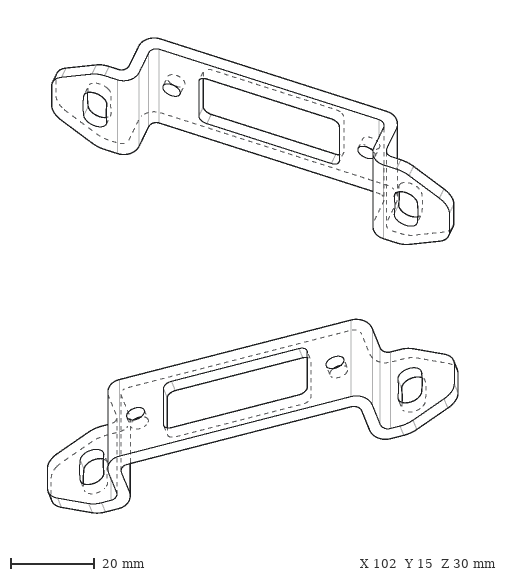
import cadquery as cq
import math

length = 102.0
depth = 15.0
height = 30.0

sheet = 3.0
raised_width = 66.1
outer_bend_radius = 4.0
inner_bend_radius = 1.9
edge_tolerance = 0.1

taper_length = 11.8
tip_height = 14.1
end_radius = 5.8

slot_path_radius = 40.0
slot_width = 5.9
slot_height = 13.3

window_width = 36.0
window_height = 18.1
window_corner_radius = 2.0
hole_diameter = 4.5
hole_spacing = 50.0


def full_height_block(width, bottom, top):
    """Full-height rectangular block centred in X, between two Y levels."""
    return (
        cq.Workplane("XY")
        .box(width, top - bottom, height)
        .translate((0, (top + bottom) / 2, 0))
    )


def bent_sheet():
    """Hat-shaped sheet with rounded bends, extruded along Z."""
    front = -depth / 2
    back = depth / 2
    foot_back = front + sheet
    panel_front = back - sheet
    wall_outer = raised_width / 2
    wall_inner = wall_outer - sheet

    feet = full_height_block(length, front, foot_back)
    raised = full_height_block(raised_width, front, back)
    channel = full_height_block(2 * wall_inner, front, panel_front)
    sheet_body = feet.union(raised).cut(channel)

    def bend_edges(x, y):
        tol = edge_tolerance
        left, right = [
            cq.selectors.BoxSelector(
                (bend_x - tol, y - tol, -height), (bend_x + tol, y + tol, height)
            )
            for bend_x in (-x, x)
        ]
        return sheet_body.edges("|Z").edges(left + right)

    for x, y, radius in (
        (wall_outer, back, outer_bend_radius),
        (wall_inner, front, outer_bend_radius),
        (wall_outer, foot_back, inner_bend_radius),
        (wall_inner, panel_front, inner_bend_radius),
    ):
        sheet_body = bend_edges(x, y).fillet(radius)
    return sheet_body


def through_y(sketch):
    """Extrude an XZ sketch through the whole depth."""
    return sketch.extrude(depth, both=True)


def outline():
    """Elongated octagon with all its corners rounded."""
    tip_x = length / 2
    shoulder_x = tip_x - taper_length
    corners = [
        (-tip_x, -tip_height / 2),
        (-shoulder_x, -height / 2),
        (shoulder_x, -height / 2),
        (tip_x, -tip_height / 2),
        (tip_x, tip_height / 2),
        (shoulder_x, height / 2),
        (-shoulder_x, height / 2),
        (-tip_x, tip_height / 2),
    ]
    sketch = cq.Workplane("XZ").polyline(corners).close()
    return through_y(sketch).edges("|Y").fillet(end_radius)


def curved_slot(side):
    """Slot following an arc about the origin; side is -1 or 1."""
    cap_radius = slot_width / 2
    half_angle = math.asin((slot_height / 2 - cap_radius) / slot_path_radius)
    inner = slot_path_radius - cap_radius
    outer = slot_path_radius + cap_radius

    def point(radius, angle):
        return (side * radius * math.cos(angle), radius * math.sin(angle))

    end_x, end_z = point(slot_path_radius, half_angle)
    crown_x = end_x - side * cap_radius * math.sin(half_angle)
    crown_z = end_z + cap_radius * math.cos(half_angle)
    sketch = (
        cq.Workplane("XZ")
        .moveTo(*point(inner, -half_angle))
        .threePointArc(point(inner, 0), point(inner, half_angle))
        .threePointArc((crown_x, crown_z), point(outer, half_angle))
        .threePointArc(point(outer, 0), point(outer, -half_angle))
        .threePointArc((crown_x, -crown_z), point(inner, -half_angle))
        .close()
    )
    return through_y(sketch)


def window():
    """Rectangular opening with rounded corners."""
    sketch = cq.Workplane("XZ").rect(window_width, window_height)
    return through_y(sketch).edges("|Y").fillet(window_corner_radius)


def screw_holes():
    """Round holes on either side of the window."""
    centres = [(-hole_spacing / 2, 0), (hole_spacing / 2, 0)]
    return through_y(cq.Workplane("XZ").pushPoints(centres).circle(hole_diameter / 2))


result = bent_sheet().intersect(outline()).cut(window()).cut(screw_holes())
for side in (-1, 1):
    result = result.cut(curved_slot(side))